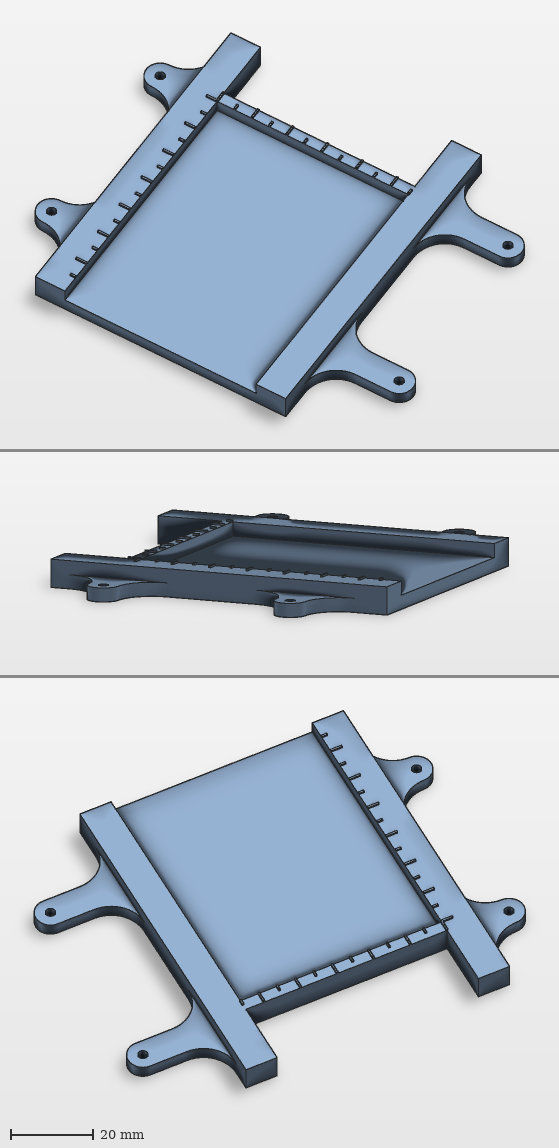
import cadquery as cq

body_length = 90.0
rail_width = 8.5
tray_width = 55.0
rail_height = 7.0
floor_thickness = rail_height / 2
stop_front = 70.0
stop_width = 3.0
body_width = tray_width + 2 * rail_width
stop_back = stop_front + stop_width
tray_left = rail_width
tray_right = rail_width + tray_width

ear_radius = 4.0
ear_fillet = 9.0
ear_hole_diameter = 2.5
ear_positions_y = (21.8, 71.8)
left_ear_reach = ear_fillet
right_ear_reach = 19.0

tick_height = 0.4
tick_width = 0.5
long_tick = stop_width
short_tick = stop_width / 2
rail_tick_count = 14
stop_tick_count = 12
tick_pitch = tray_width / (stop_tick_count - 1)


def box(x_min, x_max, y_min, y_max, z_min, z_max):
    """Axis-aligned block between the given limits."""
    size = (x_max - x_min, y_max - y_min, z_max - z_min)
    return cq.Workplane("XY").box(*size, centered=False).translate((x_min, y_min, z_min))


def make_body():
    """Floor between two full-length rails, closed by a cross stop behind the floor."""
    floor = box(0, body_width, 0, stop_back, 0, floor_thickness)
    left_rail = box(0, tray_left, 0, body_length, 0, rail_height)
    right_rail = box(tray_right, body_width, 0, body_length, 0, rail_height)
    stop = box(tray_left, tray_right, stop_front, stop_back, 0, rail_height)
    return floor.union(left_rail).union(right_rail).union(stop)


def make_ear(root_x, direction, reach, center_y):
    """Round-ended ear flaring into the rail side; reach is from the rail to the hole."""
    hole_x = root_x + direction * reach
    flare_x = root_x + direction * ear_fillet
    half_root = ear_radius + ear_fillet

    root = box(
        min(root_x, flare_x), max(root_x, flare_x),
        center_y - half_root, center_y + half_root,
        0, floor_thickness,
    )
    flare_cutters = (
        cq.Workplane("XY")
        .pushPoints([(flare_x, center_y - half_root), (flare_x, center_y + half_root)])
        .circle(ear_fillet)
        .extrude(floor_thickness)
    )
    arm = box(
        min(root_x, hole_x), max(root_x, hole_x),
        center_y - ear_radius, center_y + ear_radius,
        0, floor_thickness,
    )
    tip = cq.Workplane("XY").center(hole_x, center_y).circle(ear_radius).extrude(floor_thickness)
    hole = (
        cq.Workplane("XY")
        .center(hole_x, center_y)
        .circle(ear_hole_diameter / 2)
        .extrude(floor_thickness)
    )
    return root.cut(flare_cutters).union(arm).union(tip).cut(hole)


def tick_length(index):
    """Long and short ticks alternate, starting with a long one."""
    return long_tick if index % 2 == 0 else short_tick


def make_rail_tick(index):
    """Tick on the left rail, running outward from the tray edge."""
    y = stop_front - index * tick_pitch
    x_min = tray_left - tick_length(index)
    return box(
        x_min, tray_left,
        y - tick_width / 2, y + tick_width / 2,
        rail_height, rail_height + tick_height,
    )


def make_stop_tick(index):
    """Tick on the cross stop, running backward from the tray edge."""
    x = tray_left + index * tick_pitch
    return box(
        x - tick_width / 2, x + tick_width / 2,
        stop_front, stop_front + tick_length(index),
        rail_height, rail_height + tick_height,
    )


result = make_body()
for ear_y in ear_positions_y:
    result = result.union(make_ear(0, -1, left_ear_reach, ear_y))
    result = result.union(make_ear(body_width, 1, right_ear_reach, ear_y))
for tick_index in range(rail_tick_count):
    result = result.union(make_rail_tick(tick_index))
for tick_index in range(stop_tick_count):
    result = result.union(make_stop_tick(tick_index))